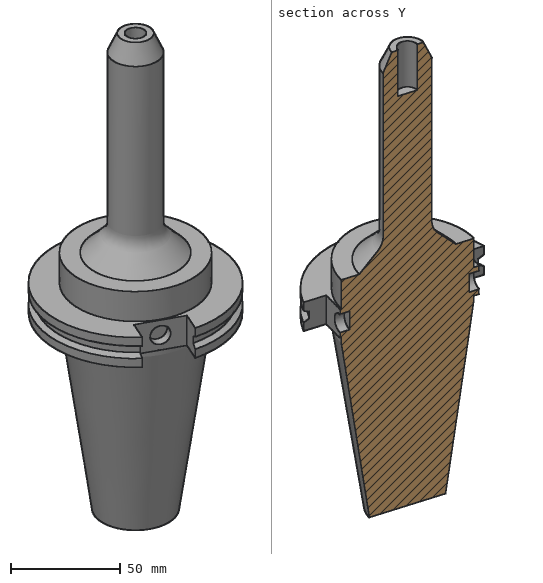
import cadquery as cq
import math

gauge_height = 101.5
collar_under_flange = 3.0
flange_thickness = 16.0
body_top = 136.7
total_height = 254.0
tip_length = 10.2

gauge_radius = 69.8 / 2
taper_per_length = 7 / 24
flange_radius = 98.3 / 2
cone_radius = 25.5
bar_radius = 13.0
tip_radius = 8.5
neck_blend_radius = 10.0

groove_floor_radius = 46.2
groove_mouth = 6.5
groove_floor_width = 3.5

slot_width = 25.7
deep_slot_floor = 35.5
shallow_slot_floor = 37.5
bore_diameter = 10.0
tip_bore_depth = 25.5
side_bore_depth = 5.0

small_end_radius = gauge_radius - gauge_height * taper_per_length / 2
flange_bottom = gauge_height + collar_under_flange
flange_top = flange_bottom + flange_thickness
flange_middle = (flange_bottom + flange_top) / 2

half_root = math.sqrt(0.5)
blend_start_radius = bar_radius + neck_blend_radius * (1 - half_root)
blend_start = body_top + cone_radius - blend_start_radius
blend_end = blend_start + neck_blend_radius * half_root
blend_middle_angle = math.radians(22.5)
blend_middle = (
    bar_radius + neck_blend_radius * (1 - math.cos(blend_middle_angle)),
    blend_end - neck_blend_radius * math.sin(blend_middle_angle),
)


def turned_body():
    """Revolve the taper, flange, body, neck and bar about the Z axis."""
    profile = (
        cq.Workplane("XZ")
        .moveTo(0, 0)
        .lineTo(small_end_radius, 0)
        .lineTo(gauge_radius, gauge_height)
        .lineTo(gauge_radius, flange_bottom)
        .lineTo(flange_radius, flange_bottom)
        .lineTo(flange_radius, flange_middle - groove_mouth / 2)
        .lineTo(groove_floor_radius, flange_middle - groove_floor_width / 2)
        .lineTo(groove_floor_radius, flange_middle + groove_floor_width / 2)
        .lineTo(flange_radius, flange_middle + groove_mouth / 2)
        .lineTo(flange_radius, flange_top)
        .lineTo(gauge_radius, flange_top)
        .lineTo(gauge_radius, body_top)
        .lineTo(cone_radius, body_top)
        .lineTo(blend_start_radius, blend_start)
        .threePointArc(blend_middle, (bar_radius, blend_end))
        .lineTo(bar_radius, total_height - tip_length)
        .lineTo(tip_radius, total_height)
        .lineTo(0, total_height)
        .close()
    )
    return profile.revolve(360, (0, 0, 0), (0, 1, 0))


def drive_slot(side, floor_distance):
    """Cutter for one flange slot and the blind bore in its floor."""
    slot_depth = flange_radius - floor_distance
    slot = cq.Workplane("XY").box(slot_depth, slot_width, flange_thickness)
    slot = slot.translate((side * (floor_distance + slot_depth / 2), 0, flange_middle))
    bore = (
        cq.Workplane("YZ", origin=(side * floor_distance, 0, flange_middle))
        .circle(bore_diameter / 2)
        .extrude(-side * side_bore_depth)
    )
    return slot.union(bore)


def tip_bore():
    """Cutter for the blind axial bore in the tip."""
    return (
        cq.Workplane("XY", origin=(0, 0, total_height))
        .circle(bore_diameter / 2)
        .extrude(-tip_bore_depth)
    )


result = turned_body().cut(tip_bore())
for side, floor_distance in ((-1, shallow_slot_floor), (1, deep_slot_floor)):
    result = result.cut(drive_slot(side, floor_distance))